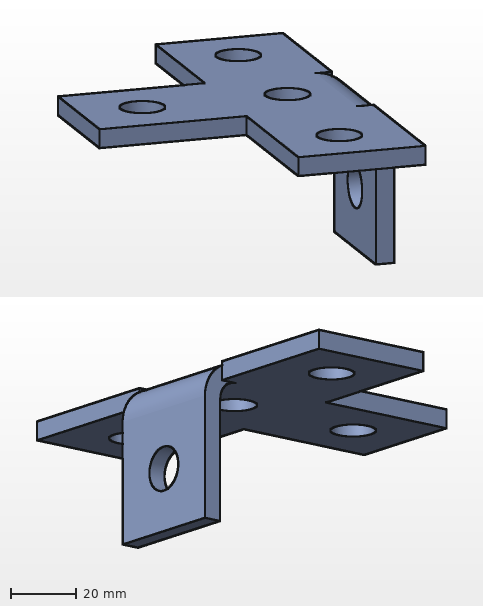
import cadquery as cq

thickness = 6.0
bar_length = 137.6
bar_width = 41.3
stem_width = 40.2
stem_length = 47.6
stem_left = 47.3
stem_center = stem_left + stem_width / 2
plate_depth = stem_length + bar_width

total_depth = 95.6
total_height = 51.0
bend_outer_radius = 12.1
bend_inner_radius = bend_outer_radius - thickness
bend_start = total_depth - bend_outer_radius

hole_diameter = 14.0
bar_holes_y = 67.7
left_hole_x = 20.0
right_hole_x = 117.4
stem_hole_y = 20.6
flange_hole_height = 20.0


def t_plate():
    bar = cq.Workplane("XY").box(bar_length, bar_width, thickness, centered=False)
    bar = bar.translate((0, stem_length, -thickness))
    stem = cq.Workplane("XY").box(stem_width, plate_depth, thickness, centered=False)
    return bar.union(stem.translate((stem_left, 0, -thickness)))


def bent_flange():
    """Quarter-round bend and the straight leg below it, extruded across the stem width."""
    return (
        cq.Workplane("YZ", origin=(stem_left, 0, 0))
        .moveTo(bend_start, 0)
        .radiusArc((total_depth, -bend_outer_radius), bend_outer_radius)
        .lineTo(total_depth, -total_height)
        .lineTo(total_depth - thickness, -total_height)
        .lineTo(total_depth - thickness, -bend_outer_radius)
        .radiusArc((bend_start, -thickness), -bend_inner_radius)
        .close()
        .extrude(stem_width)
    )


def plate_holes():
    centers = [
        (left_hole_x, bar_holes_y),
        (stem_center, bar_holes_y),
        (right_hole_x, bar_holes_y),
        (stem_center, stem_hole_y),
    ]
    return (
        cq.Workplane("XY")
        .pushPoints(centers)
        .circle(hole_diameter / 2)
        .extrude(-thickness)
    )


def flange_hole():
    center = (stem_center, total_depth, flange_hole_height - total_height)
    return cq.Workplane("XZ", origin=center).circle(hole_diameter / 2).extrude(thickness)


bend_clearance = (
    cq.Workplane("XY")
    .box(stem_width, total_depth - bend_start, thickness, centered=False)
    .translate((stem_left, bend_start, -thickness))
)

result = (
    t_plate()
    .cut(bend_clearance)
    .union(bent_flange())
    .cut(plate_holes())
    .cut(flange_hole())
)